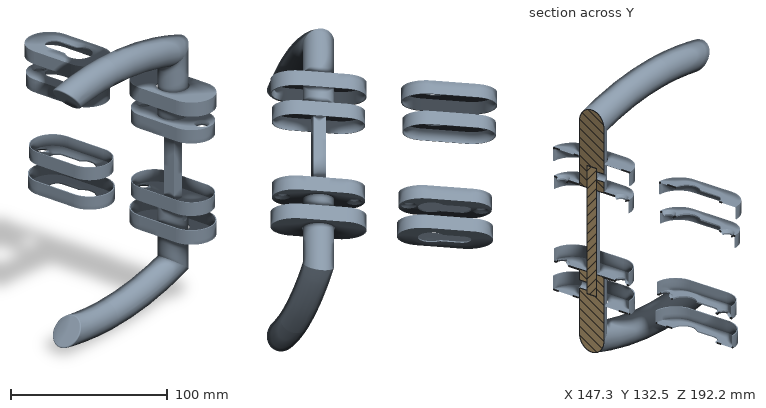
import cadquery as cq
import math

BASE_RIM_LEVEL = 20.95
COVER_FACE_LEVEL = 50.4

STRAIGHT_LENGTH = 30.0
COVER_RADIUS = 16.0
COVER_THICKNESS = 0.75
BASE_RADIUS = 15.15
BASE_RIM_THICKNESS = 0.5
BASE_FLOOR_THICKNESS = 1.0
HANDLE_COVER_HEIGHT = 10.0
HANDLE_BASE_HEIGHT = 9.5
KEY_COVER_HEIGHT = 9.0
KEY_BASE_HEIGHT = 9.0

SEAT_X = 23.5
SEAT_RADIUS = 5.0
SCREW_HOLE_RADIUS = 3.25
SEAT_DEPTH = 1.8

KEY_UPPER_X = -85.27
KEY_LOWER_X = -82.6
CYLINDER_X = 8.85
CYLINDER_RADIUS = 8.75
KEY_SLOT_END_X = -11.35
KEY_SLOT_RADIUS = 5.7

SPINDLE_WIDTH = 8.0
SOCKET_DEPTH = 15.0
GRUB_HOLE_RADIUS = 2.65
GRUB_HOLE_LEVEL = 40.1

HANDLE_RADIUS = 10.0
NECK_CLEARANCE = 0.5
NECK_LEVEL = BASE_RIM_LEVEL + HANDLE_BASE_HEIGHT
ARC_RADIUS = 225.0
ARC_TOP_REACH = 69.5
ARC_TOP_LEVEL = 86.09
ARC_CENTRE_LEVEL = ARC_TOP_LEVEL - ARC_RADIUS
TIP_REACH = 117.1
TIP_ANGLE = 50.5
TIP_FILLET = 0.75

SPINDLE_LENGTH = 2 * (NECK_LEVEL + SOCKET_DEPTH)
CUTTER_SIZE = 400.0


def arc_level(radius, distance):
    """Height on a circle about the grip's arc centre, this far sideways from its top."""
    return ARC_CENTRE_LEVEL + math.sqrt(radius**2 - distance**2)


def half_space(reach, level, angle):
    """Block above a plane through the given point, tilted about X by the angle."""
    block = cq.Workplane("XY").box(CUTTER_SIZE, CUTTER_SIZE, CUTTER_SIZE, centered=(True, True, False))
    return block.rotate((0, 0, 0), (1, 0, 0), angle).translate((0, -reach, level))


def stadium(radius, height, bottom):
    outline = cq.Workplane("XY").workplane(offset=bottom)
    return outline.slot2D(STRAIGHT_LENGTH + 2 * radius, 2 * radius).extrude(height)


def cover_tray(height):
    rim_level = COVER_FACE_LEVEL - height
    cavity = stadium(COVER_RADIUS - COVER_THICKNESS, height - COVER_THICKNESS, rim_level)
    return stadium(COVER_RADIUS, height, rim_level).cut(cavity)


def base_tray(height):
    """Tray with two screw seats sunk into its floor."""
    cavity = stadium(BASE_RADIUS - BASE_RIM_THICKNESS, height - BASE_FLOOR_THICKNESS, BASE_RIM_LEVEL)
    base = stadium(BASE_RADIUS, height, BASE_RIM_LEVEL).cut(cavity)
    face_level = BASE_RIM_LEVEL + height
    for x in (-SEAT_X, SEAT_X):
        seat = seat_cone().translate((x, 0, face_level))
        hole = cq.Workplane("XY").center(x, 0).circle(SCREW_HOLE_RADIUS).extrude(face_level)
        base = base.union(seat.translate((0, 0, -BASE_FLOOR_THICKNESS))).cut(seat).cut(hole)
    return base


def seat_cone():
    """Cone frustum below Z = 0, wide end up."""
    half_section = [
        (0, 0),
        (SEAT_RADIUS, 0),
        (SCREW_HOLE_RADIUS, -SEAT_DEPTH),
        (0, -SEAT_DEPTH),
    ]
    return cq.Workplane("XZ").polyline(half_section).close().revolve(360, (0, 0), (0, 1))


def keyhole():
    """Cylinder opening, tall enough to pierce any rosette."""
    plane = cq.Workplane("XY")
    slot_length = CYLINDER_X - KEY_SLOT_END_X
    bore = plane.center(CYLINDER_X, 0).circle(CYLINDER_RADIUS).extrude(COVER_FACE_LEVEL)
    slot_end = plane.center(KEY_SLOT_END_X, 0).circle(KEY_SLOT_RADIUS).extrude(COVER_FACE_LEVEL)
    slot = plane.center(KEY_SLOT_END_X + slot_length / 2, 0).rect(slot_length, 2 * KEY_SLOT_RADIUS)
    return bore.union(slot_end).union(slot.extrude(COVER_FACE_LEVEL))


def key_cover():
    return cover_tray(KEY_COVER_HEIGHT).cut(keyhole())


def key_base():
    return base_tray(KEY_BASE_HEIGHT).cut(keyhole())


def handle_cover():
    neck_hole = cq.Workplane("XY").circle(HANDLE_RADIUS + NECK_CLEARANCE).extrude(COVER_FACE_LEVEL)
    return cover_tray(HANDLE_COVER_HEIGHT).cut(neck_hole)


def spindle():
    return cq.Workplane("XY").box(SPINDLE_WIDTH, SPINDLE_WIDTH, SPINDLE_LENGTH)


def lever():
    """Neck and grip, meeting in the plane that halves the angle between them."""
    start_level = arc_level(ARC_RADIUS, ARC_TOP_REACH)
    start_slope = math.degrees(math.asin(ARC_TOP_REACH / ARC_RADIUS))
    beyond_miter = half_space(0, start_level, (90 - start_slope) / 2)

    neck = cq.Workplane("XY").workplane(offset=NECK_LEVEL).circle(HANDLE_RADIUS)
    neck = neck.extrude(ARC_TOP_LEVEL - NECK_LEVEL).cut(beyond_miter)

    section = cq.Workplane("XZ", origin=(0, -ARC_TOP_REACH, ARC_TOP_LEVEL)).circle(HANDLE_RADIUS)
    ring = section.revolve(360, (-1, -ARC_RADIUS), (1, -ARC_RADIUS))
    tip_level = arc_level(ARC_RADIUS + HANDLE_RADIUS, TIP_REACH - ARC_TOP_REACH)
    grip = ring.intersect(beyond_miter).intersect(half_space(TIP_REACH, tip_level, -TIP_ANGLE))
    grip = grip.faces("%PLANE").faces("<Y").edges().fillet(TIP_FILLET)
    return neck.union(grip)


def handle():
    """Lever carried by its base, with a spindle socket and a clamping screw hole."""
    grub_hole = cq.Workplane("YZ").center(0, GRUB_HOLE_LEVEL).circle(GRUB_HOLE_RADIUS)
    screwed_lever = lever().cut(grub_hole.extrude(-HANDLE_RADIUS))
    return screwed_lever.union(base_tray(HANDLE_BASE_HEIGHT)).cut(spindle())


bodies = [spindle()]

for side_angle in (0, 180):
    for body in (handle(), handle_cover()):
        bodies.append(body.rotate((0, 0, 0), (0, 1, 0), side_angle))

for body in (key_cover(), key_base()):
    bodies.append(body.translate((KEY_UPPER_X, 0, 0)))
    bodies.append(body.mirror("XY").translate((KEY_LOWER_X, 0, 0)))

result = cq.Compound.makeCompound([body.solids().val() for body in bodies])